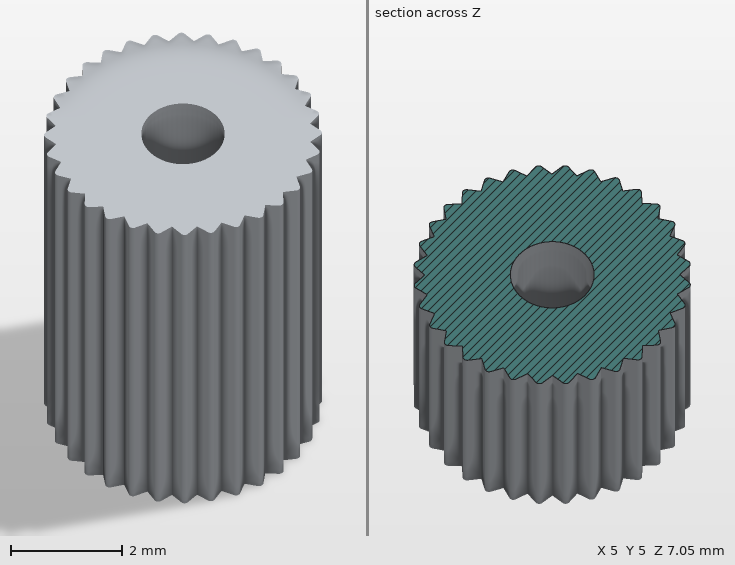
import cadquery as cq
import math

OUTER_DIAMETER = 5.0
LENGTH = 7.05
BORE_DIAMETER = 1.5
TOOTH_COUNT = 32
TOOTH_DEPTH = 0.2
TOOTH_ANGLE = 84.0

TIP_RADIUS = OUTER_DIAMETER / 2
ROOT_RADIUS = TIP_RADIUS - TOOTH_DEPTH
TOOTH_PITCH = math.radians(360 / TOOTH_COUNT)
HALF_PITCH = TOOTH_PITCH / 2
FLANK_ANGLE = math.radians(TOOTH_ANGLE / 2)

ROOT_OUT = ROOT_RADIUS * math.cos(HALF_PITCH)
ROOT_HALF_WIDTH = ROOT_RADIUS * math.sin(HALF_PITCH)
APEX_OUT = ROOT_OUT + ROOT_HALF_WIDTH / math.tan(FLANK_ANGLE)
ROUNDING_RADIUS = (APEX_OUT - TIP_RADIUS) / (1 / math.sin(FLANK_ANGLE) - 1)
ROUNDING_CENTER_OUT = TIP_RADIUS - ROUNDING_RADIUS
TANGENT_OUT = ROUNDING_CENTER_OUT + ROUNDING_RADIUS * math.sin(FLANK_ANGLE)
TANGENT_HALF_WIDTH = ROUNDING_RADIUS * math.cos(FLANK_ANGLE)


def rotated(x, y, angle):
    """Point (x, y) turned about the axis by an angle in radians."""
    return (
        x * math.cos(angle) - y * math.sin(angle),
        x * math.sin(angle) + y * math.cos(angle),
    )


def add_tooth(outline, angle):
    """Extend the outline from a tooth's first root over its rounded tip, ending on the far flank."""
    outline = outline.lineTo(*rotated(TANGENT_OUT, -TANGENT_HALF_WIDTH, angle))
    return outline.threePointArc(
        rotated(TIP_RADIUS, 0, angle),
        rotated(TANGENT_OUT, TANGENT_HALF_WIDTH, angle),
    )


def toothed_body():
    """Prism with straight V teeth all round, running parallel to Z."""
    outline = cq.Workplane("XY").moveTo(*rotated(ROOT_OUT, -ROOT_HALF_WIDTH, 0))
    outline = add_tooth(outline, 0)
    for tooth in range(1, TOOTH_COUNT):
        angle = tooth * TOOTH_PITCH
        outline = outline.lineTo(*rotated(ROOT_OUT, -ROOT_HALF_WIDTH, angle))
        outline = add_tooth(outline, angle)
    return outline.close().extrude(LENGTH)


def through_bore():
    """Round bore along the full length."""
    return cq.Workplane("XY").circle(BORE_DIAMETER / 2).extrude(LENGTH)


result = toothed_body().cut(through_bore())